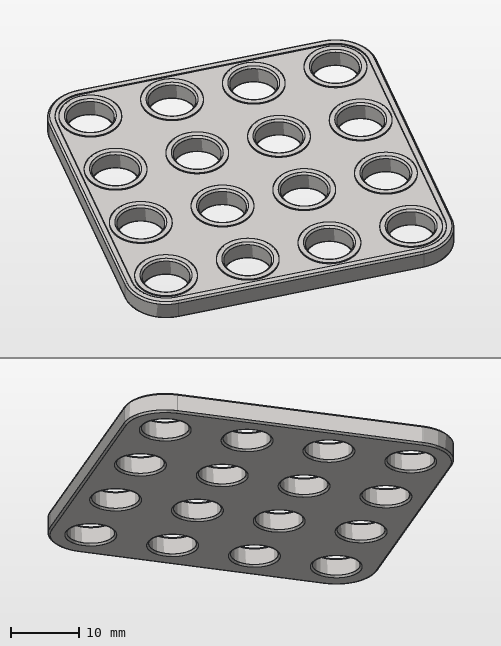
import cadquery as cq

side = 50.0
thickness = 3.1
corner_radius = side / 8
edge_chamfer = 0.3

rim_width = 1.1
floor_depth = 0.2
ring_diameter = 9.2

holes_per_side = 4
hole_pitch = side / holes_per_side
hole_diameter = 7.0
hole_chamfer = 0.3


def rounded_square(width, radius, height):
    """Square block with rounded vertical edges, standing on Z = 0."""
    block = cq.Workplane("XY").box(width, width, height, centered=(True, True, False))
    return block.edges("|Z").fillet(radius)


def hole_grid():
    """Workplane at Z = 0 with a point at every hole centre."""
    return cq.Workplane("XY").rarray(hole_pitch, hole_pitch, holes_per_side, holes_per_side)


def chamfered_plate():
    plate = rounded_square(side, corner_radius, thickness)
    return plate.faces("<Z or >Z").edges().chamfer(edge_chamfer)


def floor_recess():
    """Material removed inside the rim and around the hole rings."""
    pocket = rounded_square(side - 2 * rim_width, corner_radius - rim_width, floor_depth)
    rings = hole_grid().circle(ring_diameter / 2).extrude(floor_depth)
    return pocket.cut(rings).translate((0, 0, thickness - floor_depth))


def hole_cutters():
    """Through holes that flare into a chamfer at the top and bottom faces."""
    radius = hole_diameter / 2
    flared_radius = radius + hole_chamfer
    profile = cq.Workplane("XZ").polyline([
        (0, 0),
        (flared_radius, 0),
        (radius, hole_chamfer),
        (radius, thickness - hole_chamfer),
        (flared_radius, thickness),
        (0, thickness),
    ]).close()
    cutter = profile.revolve(360, (0, 0, 0), (0, 1, 0)).val()
    return hole_grid().eachpoint(lambda place: cutter.moved(place), combine=False)


result = chamfered_plate().cut(floor_recess()).cut(hole_cutters())